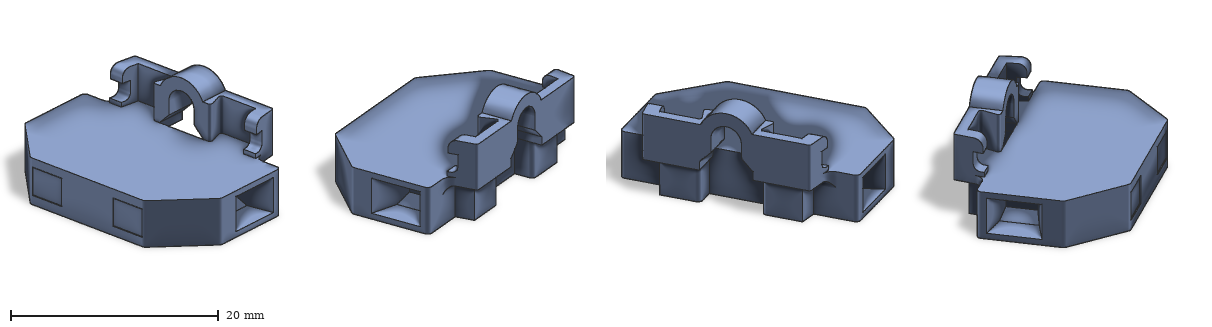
import cadquery as cq
import math

LENGTH = 25.0
HALF_LENGTH = LENGTH / 2
BLOCK_DEPTH = 14.0
BLOCK_HEIGHT = 5.0
FRONT_CHAMFER = 5.25
FRONT_CORNER_RADIUS = 0.6
BACK_CORNER_RADIUS = 0.5

NECK_BACK_Y = 16.0

TOTAL_DEPTH = 17.2
CLIP_BOTTOM = 4.1
CLIP_TOP = 9.0
CLIP_WALL = 1.1
CLIP_INNER_Y = TOTAL_DEPTH - CLIP_WALL
CLIP_CORNER_RADIUS = 0.3

ARM_ANGLE = math.radians(9)
ARM_SPLAY = math.tan(ARM_ANGLE)
ARM_OUTER_X = 9.32
ARM_INNER_X = 7.8
ARM_OUTER_BACK = ARM_OUTER_X - (TOTAL_DEPTH - BLOCK_DEPTH) * ARM_SPLAY
ARM_INNER_BACK = ARM_INNER_X - (TOTAL_DEPTH - BLOCK_DEPTH) * ARM_SPLAY
ARM_LIP_Y = 14.12
ARM_TOP_RADIUS = 1.0
NOTCH_TOP = 7.5
NOTCH_BOTTOM = 5.5
NOTCH_DEPTH_Y = 15.15
NOTCH_RADIUS = 0.75

ARM_SIDE_FILLET = 1.05
ARM_UNDER_FILLET = 0.9

SADDLE_FRONT_Y = 13.85
SADDLE_FRONT_HALF = 3.75
SADDLE_BACK_HALF = 3.02
SADDLE_EDGE_RADIUS = 0.3
ARCH_RADIUS = 3.0
ARCH_TOP = 10.7
ARCH_CENTER_Z = ARCH_TOP - ARCH_RADIUS
SLOT_RADIUS = 1.6
SLOT_FLARE_HALF = 2.8
SLOT_FLARE_TOP = BLOCK_HEIGHT + SLOT_FLARE_HALF - SLOT_RADIUS

NECK_GAP_HALF = 3.2
NECK_GAP_RADIUS = 0.5

FUNNEL_DEPTH = 4.4
FUNNEL_STRAIGHT_SHARE = 2 / 3
FUNNEL_MOUTH_Y = (7.45, 12.95)
FUNNEL_FLOOR_Y = (9.0, 12.18)
FUNNEL_MOUTH_HEIGHT = 3.75
FUNNEL_FLOOR_HEIGHT = 2.02
FUNNEL_CENTER_Z = BLOCK_HEIGHT / 2

WINDOW_CENTER_X = 5.12
WINDOW_WIDTH = 3.72
WINDOW_HEIGHT = 3.0
WINDOW_DEPTH = 0.12

SELECT_MARGIN = 0.02


def arm_x(x_at_back, y):
    """Half-width of a splayed arm face at y, given its value at the back of the part."""
    return x_at_back + (TOTAL_DEPTH - y) * ARM_SPLAY


def mirrored(points):
    """Points of an outline symmetric about x = 0, given its right half."""
    return points + [(-x, y) for x, y in reversed(points)]


def prism(points, bottom, top):
    return cq.Workplane("XY").workplane(offset=bottom).polyline(points).close().extrude(top - bottom)


def make_block():
    outline = mirrored([
        (HALF_LENGTH - FRONT_CHAMFER, 0),
        (HALF_LENGTH, FRONT_CHAMFER),
        (HALF_LENGTH, BLOCK_DEPTH),
    ])
    block = prism(outline, 0, BLOCK_HEIGHT)
    block = block.edges("|Z and (not >Y)").fillet(FRONT_CORNER_RADIUS)
    return block.edges("|Z and >Y").fillet(BACK_CORNER_RADIUS)


def make_neck():
    """Neck behind the block, split below the saddle by a gap with rounded rear corners."""
    outline = mirrored([
        (ARM_INNER_X, BLOCK_DEPTH),
        (arm_x(ARM_INNER_BACK, NECK_BACK_Y), NECK_BACK_Y),
    ])
    neck = prism(outline, 0, BLOCK_HEIGHT).cut(make_neck_gap())
    gap_corners = cq.selectors.BoxSelector(
        (-SADDLE_FRONT_HALF, NECK_BACK_Y - SELECT_MARGIN, 0),
        (SADDLE_FRONT_HALF, NECK_BACK_Y + SELECT_MARGIN, BLOCK_HEIGHT),
    )
    return neck.edges("|Z").edges(gap_corners).fillet(NECK_GAP_RADIUS)


def make_neck_gap():
    outline = mirrored([
        (NECK_GAP_HALF, SADDLE_FRONT_Y),
        (NECK_GAP_HALF, TOTAL_DEPTH),
    ])
    return prism(outline, 0, BLOCK_HEIGHT)


def make_frame():
    """Back wall, both arms and the floor between them, before the arms are profiled."""
    outer = prism(mirrored([
        (ARM_OUTER_X, BLOCK_DEPTH),
        (ARM_OUTER_BACK, TOTAL_DEPTH),
    ]), CLIP_BOTTOM, CLIP_TOP).edges("|Z and >Y").fillet(CLIP_CORNER_RADIUS)
    inner = prism(mirrored([
        (ARM_INNER_X, BLOCK_DEPTH),
        (arm_x(ARM_INNER_BACK, CLIP_INNER_Y), CLIP_INNER_Y),
    ]), BLOCK_HEIGHT, CLIP_TOP)
    return outer.cut(inner)


def make_arm_profile():
    """Side profile of the arms: rounded top lip and a hook notch open to the front."""
    return (
        cq.Workplane("YZ").workplane(offset=-HALF_LENGTH)
        .moveTo(TOTAL_DEPTH, CLIP_BOTTOM)
        .lineTo(TOTAL_DEPTH, CLIP_TOP)
        .lineTo(ARM_LIP_Y + ARM_TOP_RADIUS, CLIP_TOP)
        .radiusArc((ARM_LIP_Y, CLIP_TOP - ARM_TOP_RADIUS), -ARM_TOP_RADIUS)
        .lineTo(ARM_LIP_Y, NOTCH_TOP)
        .lineTo(NOTCH_DEPTH_Y, NOTCH_TOP)
        .lineTo(NOTCH_DEPTH_Y, NOTCH_BOTTOM + NOTCH_RADIUS)
        .radiusArc((NOTCH_DEPTH_Y - NOTCH_RADIUS, NOTCH_BOTTOM), NOTCH_RADIUS)
        .lineTo(BLOCK_DEPTH, NOTCH_BOTTOM)
        .lineTo(BLOCK_DEPTH, CLIP_BOTTOM)
        .close()
        .extrude(LENGTH)
    )


def make_arm_fillets():
    """Webs beside and below the arms that blend them into the back face of the block."""
    r = ARM_SIDE_FILLET
    center_y = BLOCK_DEPTH + r
    center_x = arm_x(ARM_OUTER_BACK, center_y) + r / math.cos(ARM_ANGLE)
    touch_x = center_x - r * math.cos(ARM_ANGLE)
    touch_y = center_y - r * math.sin(ARM_ANGLE)
    under = CLIP_BOTTOM - ARM_UNDER_FILLET
    plan = (
        cq.Workplane("XY").workplane(offset=under)
        .moveTo(ARM_INNER_BACK, BLOCK_DEPTH)
        .lineTo(center_x, BLOCK_DEPTH)
        .radiusArc((touch_x, touch_y), r)
        .lineTo(ARM_OUTER_BACK, TOTAL_DEPTH)
        .lineTo(ARM_INNER_BACK, TOTAL_DEPTH)
        .close()
        .extrude(BLOCK_HEIGHT - under)
    )
    side = (
        cq.Workplane("YZ")
        .moveTo(BLOCK_DEPTH, BLOCK_HEIGHT)
        .lineTo(BLOCK_DEPTH, under)
        .radiusArc((BLOCK_DEPTH + ARM_UNDER_FILLET, CLIP_BOTTOM), ARM_UNDER_FILLET)
        .lineTo(CLIP_INNER_Y, CLIP_BOTTOM)
        .lineTo(CLIP_INNER_Y, BLOCK_HEIGHT)
        .close()
        .extrude(HALF_LENGTH)
    )
    web = plan.intersect(side)
    return web.union(web.mirror("YZ"))


def make_saddle():
    outline = mirrored([
        (SADDLE_FRONT_HALF, SADDLE_FRONT_Y),
        (SADDLE_BACK_HALF, CLIP_INNER_Y),
    ])
    return prism(outline, CLIP_BOTTOM, CLIP_TOP).edges("|Z and <Y").fillet(SADDLE_EDGE_RADIUS)


def make_arch():
    return (
        cq.Workplane("XZ", origin=(0, TOTAL_DEPTH, 0))
        .center(0, ARCH_CENTER_Z)
        .circle(ARCH_RADIUS)
        .extrude(TOTAL_DEPTH - SADDLE_FRONT_Y)
    )


def make_slot():
    return (
        cq.Workplane("XZ", origin=(0, TOTAL_DEPTH, 0))
        .moveTo(-SLOT_FLARE_HALF, CLIP_BOTTOM)
        .lineTo(-SLOT_FLARE_HALF, BLOCK_HEIGHT)
        .lineTo(-SLOT_RADIUS, SLOT_FLARE_TOP)
        .lineTo(-SLOT_RADIUS, ARCH_CENTER_Z)
        .threePointArc((0, ARCH_CENTER_Z + SLOT_RADIUS), (SLOT_RADIUS, ARCH_CENTER_Z))
        .lineTo(SLOT_RADIUS, SLOT_FLARE_TOP)
        .lineTo(SLOT_FLARE_HALF, BLOCK_HEIGHT)
        .lineTo(SLOT_FLARE_HALF, CLIP_BOTTOM)
        .close()
        .extrude(TOTAL_DEPTH - SADDLE_FRONT_Y)
    )


def make_funnel():
    """Pocket in the left end: tapers in plan all the way, in height only near the floor."""
    start = -HALF_LENGTH
    floor = start + FUNNEL_DEPTH
    taper = start + FUNNEL_DEPTH * FUNNEL_STRAIGHT_SHARE
    mouth_half = FUNNEL_MOUTH_HEIGHT / 2
    floor_half = FUNNEL_FLOOR_HEIGHT / 2
    plan = prism([
        (start, FUNNEL_MOUTH_Y[0]),
        (floor, FUNNEL_FLOOR_Y[0]),
        (floor, FUNNEL_FLOOR_Y[1]),
        (start, FUNNEL_MOUTH_Y[1]),
    ], 0, BLOCK_HEIGHT)
    side = (
        cq.Workplane("XZ", origin=(0, BLOCK_DEPTH, FUNNEL_CENTER_Z))
        .polyline([
            (start, -mouth_half),
            (taper, -mouth_half),
            (floor, -floor_half),
            (floor, floor_half),
            (taper, mouth_half),
            (start, mouth_half),
        ])
        .close()
        .extrude(BLOCK_DEPTH)
    )
    return plan.intersect(side)


def make_windows():
    return (
        cq.Workplane("XZ", origin=(0, 0, BLOCK_HEIGHT / 2))
        .pushPoints([(-WINDOW_CENTER_X, 0), (WINDOW_CENTER_X, 0)])
        .rect(WINDOW_WIDTH, WINDOW_HEIGHT)
        .extrude(-WINDOW_DEPTH)
    )


def make_clip():
    clip = make_frame().intersect(make_arm_profile()).union(make_saddle())
    saddle_corners = cq.selectors.BoxSelector(
        (-SADDLE_FRONT_HALF, CLIP_INNER_Y - SELECT_MARGIN, BLOCK_HEIGHT),
        (SADDLE_FRONT_HALF, CLIP_INNER_Y + SELECT_MARGIN, CLIP_TOP),
    )
    return clip.edges("|Z").edges(saddle_corners).fillet(SADDLE_EDGE_RADIUS).union(make_arch())


result = make_block().cut(make_neck_gap()).union(make_neck())
result = result.union(make_arm_fillets()).union(make_clip())
result = result.cut(make_slot())
funnel = make_funnel()
result = result.cut(funnel).cut(funnel.mirror("YZ")).cut(make_windows())